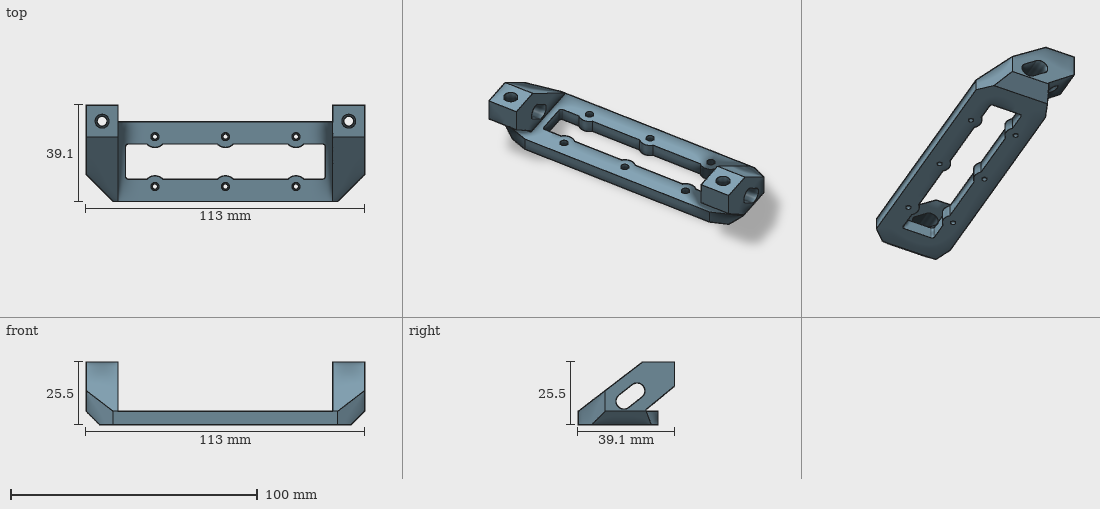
import cadquery as cq
import math

length = 113.0
depth = 39.1
height = 25.5

plate_depth = 32.4
plate_thickness = 5.5
plate_mid_y = plate_depth / 2

arm_width = 13.0
arm_back_bottom_z = 15.7
arm_foot_y = 27.6
arm_foot_z = 6.2
arm_inner_x = length / 2 - arm_width
arm_hole_x = length / 2 - arm_width / 2
arm_hole_y = depth - arm_width / 2

front_corner_cut = 11.0
bottom_edge_cut = plate_thickness

window_length = 80.9
window_width = 14.1
window_corner_radius = 1.0

screw_pitch_x = 28.6
screw_pitch_y = 20.2
lobe_radius = 4.4
screw_hole_diameter = 2.0
screw_bore_diameter = 3.3
screw_bore_depth = 3.4

arm_hole_diameter = 4.0
arm_bore_diameter = 5.6
arm_bore_depth = 6.8

slot_width = 6.3
slot_upper_end = (23.8, 13.8)
slot_lower_end = (18.5, 9.6)


def make_plate():
    """Flat plate whose back corners taper forward underneath the arms."""
    outline = [
        (-length / 2, 0),
        (length / 2, 0),
        (length / 2, arm_foot_y),
        (arm_inner_x, plate_depth),
        (-arm_inner_x, plate_depth),
        (-length / 2, arm_foot_y),
    ]
    return cq.Workplane("XY").polyline(outline).close().extrude(plate_thickness)


def make_arm(start_x):
    """Leaning arm, extruded along X from its side profile."""
    profile = [
        (0, 0),
        (0, plate_thickness),
        (depth - arm_width, height),
        (depth, height),
        (depth, arm_back_bottom_z),
        (arm_foot_y, arm_foot_z),
        (arm_foot_y, 0),
    ]
    plane = cq.Workplane("YZ", origin=(start_x, 0, 0))
    return plane.polyline(profile).close().extrude(arm_width)


def make_window(screw_points):
    """Rounded rectangular cutter, less the lobes around the screw holes."""
    window = (
        cq.Workplane("XY", origin=(0, plate_mid_y, 0))
        .rect(window_length, window_width)
        .extrude(plate_thickness)
        .edges("|Z")
        .fillet(window_corner_radius)
    )
    lobes = cq.Workplane("XY").pushPoints(screw_points).circle(lobe_radius).extrude(plate_thickness)
    return window.cut(lobes)


def make_slot():
    """Cutter for the sloping slots, long enough to pass through both arms."""
    run = slot_upper_end[0] - slot_lower_end[0]
    rise = slot_upper_end[1] - slot_lower_end[1]
    middle_y = (slot_upper_end[0] + slot_lower_end[0]) / 2
    middle_z = (slot_upper_end[1] + slot_lower_end[1]) / 2
    slot_length = math.hypot(run, rise) + slot_width
    slot_angle = math.degrees(math.atan2(rise, run))
    return (
        cq.Workplane("YZ", origin=(0, middle_y, middle_z))
        .slot2D(slot_length, slot_width, slot_angle)
        .extrude(length / 2, both=True)
    )


def cut_corners(body, side):
    """Bevel the front upright corner and the bottom outer edge; side is -1 or 1."""
    outer_x = side * length / 2
    front_corner = [
        (outer_x, 0),
        (outer_x - side * front_corner_cut, 0),
        (outer_x, front_corner_cut),
    ]
    bottom_edge = [
        (outer_x, 0),
        (outer_x - side * bottom_edge_cut, 0),
        (outer_x, bottom_edge_cut),
    ]
    body = body.cut(cq.Workplane("XY").polyline(front_corner).close().extrude(height))
    return body.cut(cq.Workplane("XZ").polyline(bottom_edge).close().extrude(-depth))


def cut_stepped_holes(body, points, top_z, hole_diameter, bore_diameter, bore_depth):
    """Vertical through holes, each with a wider bore at its top."""
    top = cq.Workplane("XY", origin=(0, 0, top_z)).pushPoints(points)
    body = body.cut(top.circle(hole_diameter / 2).extrude(-top_z))
    return body.cut(top.circle(bore_diameter / 2).extrude(-bore_depth))


screw_points = [
    (column * screw_pitch_x, plate_mid_y + row * screw_pitch_y / 2)
    for column in (-1, 0, 1)
    for row in (-1, 1)
]
arm_hole_points = [(side * arm_hole_x, arm_hole_y) for side in (-1, 1)]

result = make_plate()
for arm_start_x in (-length / 2, arm_inner_x):
    result = result.union(make_arm(arm_start_x))

result = result.cut(make_window(screw_points))
result = result.cut(make_slot())
for side in (-1, 1):
    result = cut_corners(result, side)

result = cut_stepped_holes(
    result, screw_points, plate_thickness, screw_hole_diameter, screw_bore_diameter, screw_bore_depth
)
result = cut_stepped_holes(
    result, arm_hole_points, height, arm_hole_diameter, arm_bore_diameter, arm_bore_depth
)